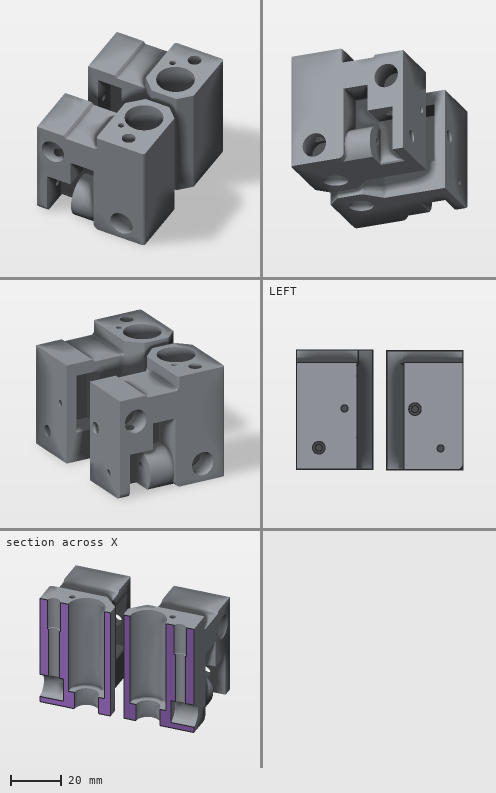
import cadquery as cq
import math


OVERALL_DEPTH = 66.3
LEFT_SHIFT_X = 0.25
LEFT_SHIFT_Z = 0.25
RIGHT_ARM_DEPTH = 23.6
LEFT_ARM_DEPTH = 24.05

LENGTH = 48.3
HEIGHT = 47.4
POST_DEPTH = 30.4
POST_END_CHAMFER = 5.05
RIGHT_POST_START_X = 26.6
LEFT_POST_START_X = RIGHT_POST_START_X - LEFT_SHIFT_X
RIGHT_POST_FLAT_X = 32.7
LEFT_POST_FLAT_X = 32.15
OUTER_EDGE_RADIUS = 1.0
INNER_EDGE_RADIUS = 1.2
LEFT_ARM_CORNER_RADIUS = 2.0

RIGHT_ARM_HEIGHT = 42.55
LEFT_ARM_HEIGHT = RIGHT_ARM_HEIGHT - LEFT_SHIFT_Z
RELIEF_DEPTH = 1.05
RELIEF_START_X = 11.9
RELIEF_FILLET = 0.8

WALL = 4.5
LOW_BAY_DEPTH = 11.9
TALL_BAY_DEPTH = 12.6
LOW_BAY_TOP = 18.6
TALL_BAY_TOP = 29.8
TALL_BAY_START_X = 15.2
TALL_BAY_END_X = 25.5
MOUTH_RADIUS = 2.3
BACK_FILLET = 0.5
BACK_WALL_CHAMFER = 0.5
LEG_FILLET = 2.6
CAM_START_X = 14.7
CAM_TOP = 15.05
CAM_RADIUS = 8.75
CAM_CENTER_Y = 9.9

WINDOW_DEPTH = 10.3
WINDOW_BOTTOM = 12.9
WINDOW_TOP = 36.9
SILL_CHAMFER = 0.5
WALL_RELIEF = 0.25
WALL_RELIEF_START = 5.8
WALL_RELIEF_TOP = 20.1

BORE_DIAMETER = 10.0
BORE_DEPTH = 9.95
UPPER_BORE = (7.2, 32.4)
LOWER_BORE = (38.1, 7.55)
LINK_HOLE_DIAMETER = 5.0
LINK_HOLE_Y = 5.95

PIVOT_DIAMETER = 2.8
PIVOT_ACCESS_DIAMETER = 5.0
PIVOT_BLIND_DEPTH = 5.3
LOW_PIVOT = (8.95, 8.55)
HIGH_PIVOT = (19.15, 24.1)

BEARING_INSET = 10.95
BEARING_Y = 19.95
BEARING_DIAMETER = 15.4
BEARING_DEPTH = 39.8
SHAFT_DIAMETER = 10.0
DOWEL_INSET = 5.1
DOWEL_Y = 11.6
DOWEL_DIAMETER = 2.6
DOWEL_DEPTH = 7.95
BOLT_Y = 6.0
RIGHT_BOLT_X = 38.1
LEFT_BOLT_X = 38.3
BOLT_DIAMETER = 4.6
BOLT_ENTRY_DIAMETER = 5.5
BOLT_ENTRY_DEPTH = 13.25


def box(x_range, y_range, z_range):
    """Axis-aligned box between the given (low, high) limits."""
    size = [high - low for low, high in (x_range, y_range, z_range)]
    corner = (x_range[0], y_range[0], z_range[0])
    return cq.Workplane("XY").box(*size, centered=False).translate(corner)


def drill(start, direction, diameter, depth):
    """Cylinder from the start point along the direction."""
    cylinder = cq.Solid.makeCylinder(diameter / 2, depth, cq.Vector(*start), cq.Vector(*direction))
    return cq.Workplane(obj=cylinder)


def envelope(arm_depth, post_flat_x, arm_corner_radius):
    """Arm and post outline in plan, with 45-degree corners on the inner side of the post."""
    arm_end_x = post_flat_x - (POST_DEPTH - arm_depth)
    body = (
        cq.Workplane("XY")
        .moveTo(0, 0)
        .lineTo(LENGTH, 0)
        .lineTo(LENGTH, POST_DEPTH - POST_END_CHAMFER)
        .lineTo(LENGTH - POST_END_CHAMFER, POST_DEPTH)
        .lineTo(post_flat_x, POST_DEPTH)
        .lineTo(arm_end_x, arm_depth)
        .lineTo(0, arm_depth)
        .close()
        .extrude(HEIGHT)
    )
    outer_edge = cq.selectors.NearestToPointSelector((LENGTH, 0, HEIGHT / 2))
    body = body.edges(outer_edge).fillet(OUTER_EDGE_RADIUS)
    for x in (post_flat_x, LENGTH - POST_END_CHAMFER):
        inner_edge = cq.selectors.NearestToPointSelector((x, POST_DEPTH, HEIGHT / 2))
        body = body.edges(inner_edge).fillet(INNER_EDGE_RADIUS)
    if arm_corner_radius > 0:
        arm_corner = cq.selectors.NearestToPointSelector((arm_end_x, arm_depth, HEIGHT / 2))
        body = body.edges(arm_corner).fillet(arm_corner_radius)
    return body


def arm_clearance(arm_height, post_start_x):
    """Space above the arm, leaving a rounded inside corner at the post."""
    relief_height = arm_height - RELIEF_DEPTH
    fillet_x = post_start_x - RELIEF_FILLET
    fillet_z = relief_height + RELIEF_FILLET
    sag = RELIEF_FILLET * math.sqrt(0.5)
    return (
        cq.Workplane("XZ")
        .moveTo(0, arm_height)
        .lineTo(RELIEF_START_X, arm_height)
        .lineTo(RELIEF_START_X + RELIEF_DEPTH, relief_height)
        .lineTo(fillet_x, relief_height)
        .threePointArc((fillet_x + sag, fillet_z - sag), (post_start_x, fillet_z))
        .lineTo(post_start_x, HEIGHT)
        .lineTo(0, HEIGHT)
        .close()
        .extrude(-POST_DEPTH)
    )


def post_edge_waste(arm_height, post_start_x, post_flat_x):
    """Waste that rounds the upright edges at both ends of the post wall above the arm."""
    wall_bottom = arm_height - RELIEF_DEPTH + RELIEF_FILLET
    wall_height = HEIGHT - wall_bottom
    corner_y = POST_DEPTH - (post_flat_x - post_start_x)
    wall = (
        cq.Workplane("XY", origin=(0, 0, wall_bottom))
        .moveTo(post_start_x, 0)
        .lineTo(post_flat_x, 0)
        .lineTo(post_flat_x, POST_DEPTH)
        .lineTo(post_start_x, corner_y)
        .close()
        .extrude(wall_height)
    )
    return wall.cut(wall.edges("|Z and <X").fillet(OUTER_EDGE_RADIUS))


def cam():
    """Rounded cam left standing in the tall bay, its arc tangent to its flat top."""
    center_z = CAM_TOP - CAM_RADIUS
    base_y = CAM_CENTER_Y - math.sqrt(CAM_RADIUS**2 - center_z**2)
    width = TALL_BAY_END_X + MOUTH_RADIUS - CAM_START_X
    return (
        cq.Workplane("YZ", origin=(CAM_START_X, 0, 0))
        .moveTo(base_y, 0)
        .threePointArc((CAM_CENTER_Y - CAM_RADIUS, center_z), (CAM_CENTER_Y, CAM_TOP))
        .lineTo(TALL_BAY_DEPTH, CAM_TOP)
        .lineTo(TALL_BAY_DEPTH, 0)
        .close()
        .extrude(width)
    )


def mouth_flare():
    """Waste that rounds the post's lower corner at the mouth of the tall bay."""
    sag = MOUTH_RADIUS * (1 - math.sqrt(0.5))
    return (
        cq.Workplane("XZ")
        .moveTo(TALL_BAY_END_X, 0)
        .lineTo(TALL_BAY_END_X, MOUTH_RADIUS)
        .threePointArc((TALL_BAY_END_X + sag, sag), (TALL_BAY_END_X + MOUTH_RADIUS, 0))
        .close()
        .extrude(-TALL_BAY_DEPTH)
    )


def outer_pocket():
    """Both bays of the outer pocket with the cam left out."""
    tall_bay = box((TALL_BAY_START_X, TALL_BAY_END_X), (0, TALL_BAY_DEPTH), (0, TALL_BAY_TOP))
    bay_back = tall_bay.faces(">Y")
    tall_bay = bay_back.edges(">X or >Z").fillet(BACK_FILLET)
    low_bay = box((WALL, TALL_BAY_START_X), (0, LOW_BAY_DEPTH), (0, LOW_BAY_TOP))
    return tall_bay.union(low_bay).union(mouth_flare()).cut(cam())


def back_wall_chamfer():
    """Chamfer along the lower edge of the low bay's back wall."""
    return (
        cq.Workplane("YZ", origin=(WALL, 0, 0))
        .moveTo(LOW_BAY_DEPTH, 0)
        .lineTo(LOW_BAY_DEPTH + BACK_WALL_CHAMFER, 0)
        .lineTo(LOW_BAY_DEPTH, BACK_WALL_CHAMFER)
        .close()
        .extrude(CAM_START_X - WALL)
    )


def inner_window(arm_depth):
    """Blind window in the inner face, with a chamfered sill and a shallow side-wall relief."""
    back_y = arm_depth - WINDOW_DEPTH
    opening = box((WALL, TALL_BAY_START_X), (back_y, arm_depth), (WINDOW_BOTTOM, WINDOW_TOP))
    sill = (
        cq.Workplane("YZ", origin=(WALL, 0, 0))
        .moveTo(arm_depth - SILL_CHAMFER, WINDOW_BOTTOM)
        .lineTo(arm_depth, WINDOW_BOTTOM)
        .lineTo(arm_depth, WINDOW_BOTTOM - SILL_CHAMFER)
        .close()
        .extrude(TALL_BAY_START_X - WALL)
    )
    relief = box(
        (TALL_BAY_START_X, TALL_BAY_START_X + WALL_RELIEF),
        (back_y, arm_depth - WALL_RELIEF_START),
        (WINDOW_BOTTOM, WALL_RELIEF_TOP),
    )
    return opening.union(sill).union(relief)


def pivot_hole(center, entry_diameter):
    """Hole through the end wall, continued as a blind pin hole across the cavity."""
    start = (0, *center)
    entry = drill(start, (1, 0, 0), entry_diameter, WALL)
    return entry.union(drill(start, (1, 0, 0), PIVOT_DIAMETER, TALL_BAY_START_X + PIVOT_BLIND_DEPTH))


def bores():
    """The two blind bores of the outer face and the hole linking the upper one to the low bay."""
    upper_x, upper_z = UPPER_BORE
    lower_x, lower_z = LOWER_BORE
    upper = drill((upper_x, 0, upper_z), (0, 1, 0), BORE_DIAMETER, BORE_DEPTH)
    lower = drill((lower_x, 0, lower_z), (0, 1, 0), BORE_DIAMETER, BORE_DEPTH)
    link_start = (upper_x, LINK_HOLE_Y, LOW_BAY_TOP)
    link = drill(link_start, (0, 0, 1), LINK_HOLE_DIAMETER, upper_z - LOW_BAY_TOP)
    return upper.union(lower).union(link)


def post_holes(post_start_x, bolt_x):
    """Bearing bore with its shaft hole, dowel hole, and stepped bolt hole into the lower bore."""
    down = (0, 0, -1)
    bearing_top = (post_start_x + BEARING_INSET, BEARING_Y, HEIGHT)
    dowel_top = (post_start_x + DOWEL_INSET, DOWEL_Y, HEIGHT)
    bolt_top = (bolt_x, BOLT_Y, HEIGHT)
    bolt_depth = HEIGHT - LOWER_BORE[1]
    holes = drill(bearing_top, down, BEARING_DIAMETER, BEARING_DEPTH)
    holes = holes.union(drill(bearing_top, down, SHAFT_DIAMETER, HEIGHT))
    holes = holes.union(drill(dowel_top, down, DOWEL_DIAMETER, DOWEL_DEPTH))
    holes = holes.union(drill(bolt_top, down, BOLT_DIAMETER, bolt_depth))
    return holes.union(drill(bolt_top, down, BOLT_ENTRY_DIAMETER, BOLT_ENTRY_DEPTH))


def leg_rounding():
    """Waste that rounds the outer lower edge of the end wall."""
    sag = LEG_FILLET * (1 - math.sqrt(0.5))
    return (
        cq.Workplane("YZ")
        .moveTo(0, 0)
        .lineTo(0, LEG_FILLET)
        .threePointArc((sag, sag), (LEG_FILLET, 0))
        .close()
        .extrude(WALL)
    )


def bearing_block(
    arm_depth,
    arm_height,
    post_start_x,
    post_flat_x,
    bolt_x,
    low_entry_diameter,
    high_entry_diameter,
    arm_corner_radius=0,
):
    """Features shared by both blocks, in the local frame."""
    block = envelope(arm_depth, post_flat_x, arm_corner_radius)
    block = block.cut(arm_clearance(arm_height, post_start_x))
    block = block.cut(post_edge_waste(arm_height, post_start_x, post_flat_x))
    block = block.cut(outer_pocket()).cut(back_wall_chamfer())
    block = block.cut(inner_window(arm_depth))
    block = block.cut(bores()).cut(post_holes(post_start_x, bolt_x))
    block = block.cut(pivot_hole(LOW_PIVOT, low_entry_diameter))
    return block.cut(pivot_hole(HIGH_PIVOT, high_entry_diameter))


def make_right_block():
    """Right block: wide access hole at the high pivot and a rounded lower leg edge."""
    block = bearing_block(
        arm_depth=RIGHT_ARM_DEPTH,
        arm_height=RIGHT_ARM_HEIGHT,
        post_start_x=RIGHT_POST_START_X,
        post_flat_x=RIGHT_POST_FLAT_X,
        bolt_x=RIGHT_BOLT_X,
        low_entry_diameter=PIVOT_DIAMETER,
        high_entry_diameter=PIVOT_ACCESS_DIAMETER,
    )
    return block.cut(leg_rounding())


def make_left_block():
    """Left block: mirrored to face the right one, wide access hole at the low pivot."""
    block = bearing_block(
        arm_depth=LEFT_ARM_DEPTH,
        arm_height=LEFT_ARM_HEIGHT,
        post_start_x=LEFT_POST_START_X,
        post_flat_x=LEFT_POST_FLAT_X,
        bolt_x=LEFT_BOLT_X,
        low_entry_diameter=PIVOT_ACCESS_DIAMETER,
        high_entry_diameter=PIVOT_DIAMETER,
        arm_corner_radius=LEFT_ARM_CORNER_RADIUS,
    )
    return block.mirror("XZ").translate((LEFT_SHIFT_X, OVERALL_DEPTH, LEFT_SHIFT_Z))


right_block = make_right_block()
left_block = make_left_block()

result = cq.Compound.makeCompound([right_block.val(), left_block.val()])